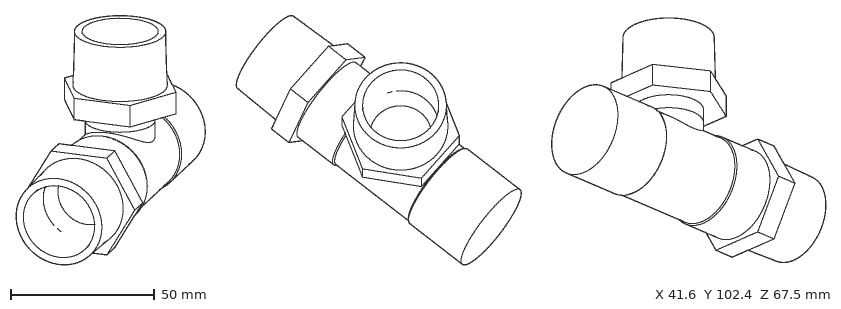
import cadquery as cq

hex_corners = 41.6
hex_height = 8.0
thread_length = 20.0
thread_root_diameter = 33.0
thread_tip_diameter = 32.0
bore_diameter = 26.5
bore_floor_diameter = 21.5

run_diameter = 32.0
collar_diameter = 33.0
collar_chamfer = (collar_diameter - run_diameter) / 2
neck_diameter = 24.5
run_half_length = 16.7
overall_length = 102.4
plain_end_reach = 41.1
threaded_end_reach = overall_length - plain_end_reach
branch_reach = 49.5
neck_joint_height = collar_diameter / 2


def make_tee():
    """Run with a short branch stub."""
    run = cq.Workplane("XZ").circle(run_diameter / 2).extrude(run_half_length, both=True)
    stub = cq.Workplane("XY").circle(neck_diameter / 2).extrude(neck_joint_height)
    return run.union(stub)


def make_fitting(shank_diameter, base_height, tip_height):
    """Shank, hexagon and tapered thread along +Z, with a blind bore that narrows inside the hexagon."""
    thread_start = tip_height - thread_length
    hex_start = thread_start - hex_height
    shank = (
        cq.Workplane("XY")
        .workplane(offset=base_height)
        .circle(shank_diameter / 2)
        .extrude(hex_start - base_height)
    )
    hexagon = cq.Workplane("XY").workplane(offset=hex_start).polygon(6, hex_corners).extrude(hex_height)
    thread = (
        cq.Workplane("XY")
        .workplane(offset=thread_start)
        .circle(thread_root_diameter / 2)
        .workplane(offset=thread_length)
        .circle(thread_tip_diameter / 2)
        .loft(ruled=True)
    )
    bore = (
        cq.Workplane("XY")
        .workplane(offset=thread_start)
        .circle(bore_diameter / 2)
        .extrude(thread_length)
    )
    bore_taper = (
        cq.Workplane("XY")
        .workplane(offset=hex_start)
        .circle(bore_floor_diameter / 2)
        .workplane(offset=hex_height)
        .circle(bore_diameter / 2)
        .loft(ruled=True)
    )
    return shank.union(hexagon).union(thread).cut(bore).cut(bore_taper)


def make_run_fitting():
    """Fitting on the -Y end of the run, its inner end chamfered down to the run diameter."""
    fitting = make_fitting(collar_diameter, run_half_length, threaded_end_reach)
    rim = fitting.faces("<Z").edges()
    return rim.chamfer(collar_chamfer).rotate((0, 0, 0), (1, 0, 0), 90)


def make_plain_end():
    """Plain round end on the +Y side of the run, chamfered where it meets the run."""
    collar = (
        cq.Workplane("XZ", origin=(0, run_half_length, 0))
        .circle(collar_diameter / 2)
        .extrude(run_half_length - plain_end_reach)
    )
    return collar.faces("<Y").edges().chamfer(collar_chamfer)


tee = make_tee()
branch_fitting = make_fitting(neck_diameter, neck_joint_height, branch_reach)
run_fitting = make_run_fitting()
plain_end = make_plain_end()

result = cq.Compound.makeCompound(
    [tee.val(), branch_fitting.val(), run_fitting.val(), plain_end.val()]
)